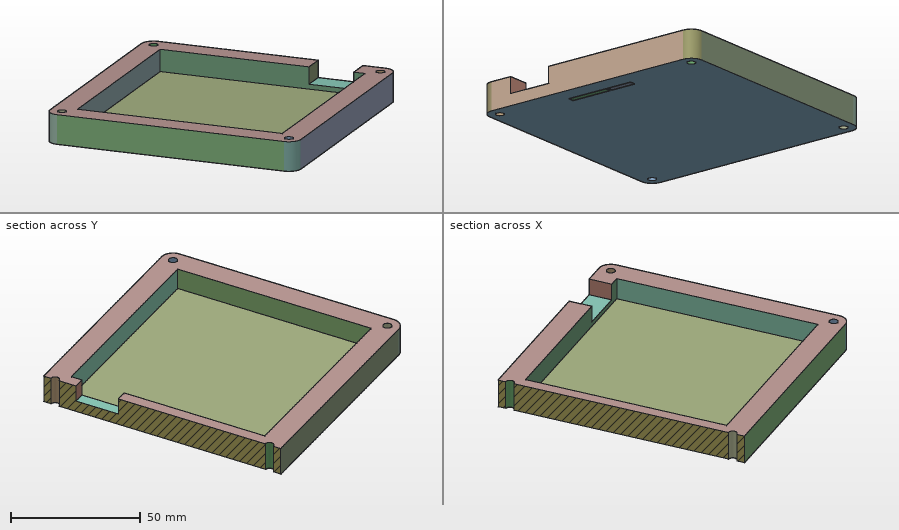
import cadquery as cq

side = 104.5
body_height = 12.0
corner_radius = 5.0

cavity_side = 85.3
floor_thickness = 3.0

hole_diameter = 3.5
hole_spacing = side - 2 * corner_radius

notch_width = 18.6
notch_center_x = 28.6
notch_depth = 7.0

strip_row_length = 30.3
strip_gap = 0.8
left_strip_length = 11.3
right_strip_length = strip_row_length - strip_gap - left_strip_length
strip_width = 2.6
strip_center_y = 43.4
strip_height = 0.2


def make_body():
    """Square block with rounded vertical edges, standing on Z = 0."""
    block = cq.Workplane("XY").box(side, side, body_height, centered=(True, True, False))
    return block.edges("|Z").fillet(corner_radius)


def make_cavity():
    cavity_depth = body_height - floor_thickness
    return (
        cq.Workplane("XY", origin=(0, 0, floor_thickness))
        .box(cavity_side, cavity_side, cavity_depth, centered=(True, True, False))
    )


def make_notch():
    """Cutter reaching from the cavity out through the +Y wall."""
    wall_thickness = (side - cavity_side) / 2
    wall_center_y = (side - wall_thickness) / 2
    return (
        cq.Workplane("XY", origin=(notch_center_x, wall_center_y, body_height - notch_depth))
        .box(notch_width, wall_thickness, notch_depth, centered=(True, True, False))
    )


def make_holes():
    return (
        cq.Workplane("XY")
        .rect(hole_spacing, hole_spacing, forConstruction=True)
        .vertices()
        .circle(hole_diameter / 2)
        .extrude(body_height)
    )


def make_strip(center_x, length):
    return (
        cq.Workplane("XY")
        .center(center_x, strip_center_y)
        .rect(length, strip_width)
        .extrude(-strip_height)
    )


left_strip = make_strip((left_strip_length - strip_row_length) / 2, left_strip_length)
right_strip = make_strip((strip_row_length - right_strip_length) / 2, right_strip_length)

result = (
    make_body()
    .cut(make_cavity())
    .cut(make_notch())
    .cut(make_holes())
    .union(left_strip)
    .union(right_strip)
)